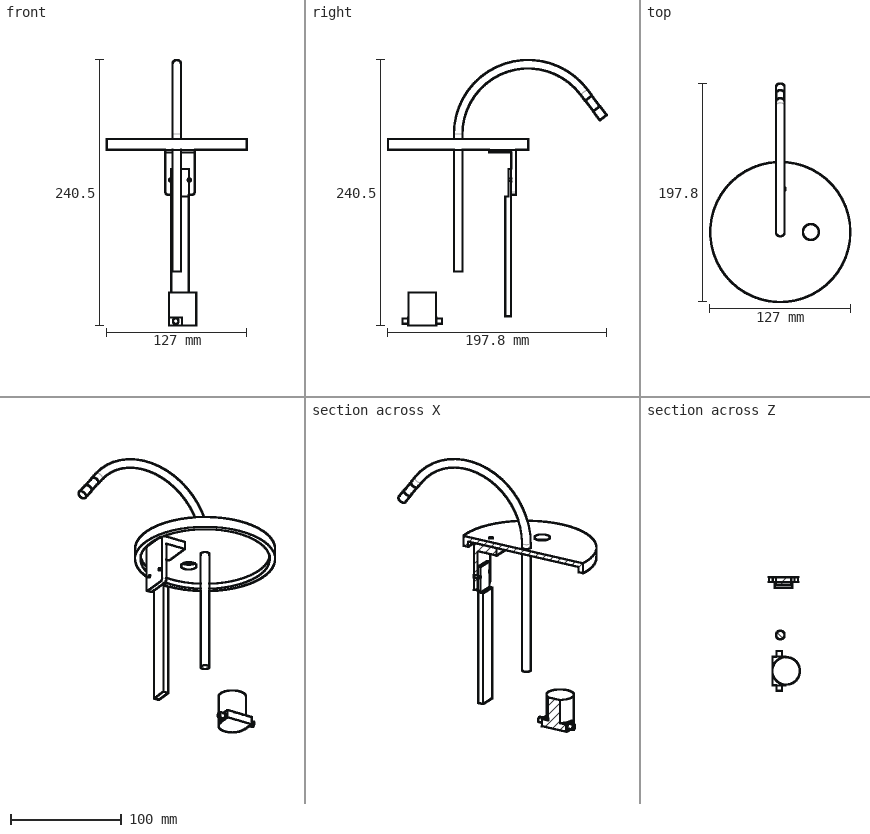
import cadquery as cq
import math


OVERALL_HEIGHT = 240.5

DISC_DIAMETER = 127.0
DISC_THICKNESS = 10.0
DISC_ROOF_THICKNESS = 5.0
DISC_RECESS_DIAMETER = 117.0
DRAIN_HOLE_DIAMETER = 14.2
DRAIN_HOLE_X = 27.7
SCREW_HOLE_DIAMETER = 3.5
SCREW_HOLE_Y = 39.0

TUBE_DIAMETER = 8.0
TUBE_BOTTOM_Z = -120.2
BEND_RADIUS = 63.2
SPOUT_TOP_Z = 71.5
BEND_CENTRE_Z = SPOUT_TOP_Z - TUBE_DIAMETER / 2 - BEND_RADIUS
BEND_ANGLE = 143.0
NECK_DIAMETER = 7.5
STRAIGHT_LENGTH = 7.0
NECK_LENGTH = 12.0
NOZZLE_LENGTH = 10.0

BRACKET_CENTRE_X = 3.0
BRACKET_WIDTH = 26.7
BRACKET_BACK_Y = 52.5
BRACKET_FRONT_Y = 47.8
BRACKET_BOTTOM_Z = -50.7
BRACKET_CORNER = 2.5
FLANGE_FRONT_Y = 28.1
FLANGE_BOTTOM_Z = -12.3

ARM_WIDTH = 16.0
ARM_THICKNESS = 5.3
TONGUE_THICKNESS = 2.5
ARM_TOP_Z = -27.2
ARM_SHOULDER_Z = -52.2
ARM_BOTTOM_Z = -160.5
FIXING_HOLE_DIAMETER = 2.5
FIXING_HOLE_SPACING = 16.8
FIXING_HOLE_Z = -37.3

PUMP_DIAMETER = 25.0
PUMP_X = 5.3
PUMP_Y = -32.5
PUMP_TOP_Z = -139.0
PUMP_BOTTOM_Z = SPOUT_TOP_Z - OVERALL_HEIGHT
MANIFOLD_WIDTH = 12.0
MANIFOLD_LENGTH = 26.0
MANIFOLD_HEIGHT = 7.5
PORT_DIAMETER = 5.0
PORT_SPAN = 36.0
PORT_X = -1.0
PORT_HEIGHT = 4.0


def box(x_min, x_max, y_min, y_max, z_min, z_max):
    """Block between the given limits on each axis."""
    size = (x_max - x_min, y_max - y_min, z_max - z_min)
    return cq.Workplane("XY").box(*size, centered=False).translate((x_min, y_min, z_min))


def upright_cylinder(diameter, x, y, z_min, z_max):
    """Vertical cylinder centred on (x, y)."""
    return cq.Workplane("XY", origin=(x, y, z_min)).circle(diameter / 2).extrude(z_max - z_min)


def make_disc():
    disc = upright_cylinder(DISC_DIAMETER, 0, 0, -DISC_THICKNESS, 0)
    disc = disc.cut(
        upright_cylinder(DISC_RECESS_DIAMETER, 0, 0, -DISC_THICKNESS, -DISC_ROOF_THICKNESS)
    )
    holes = (
        (TUBE_DIAMETER, 0, 0),
        (DRAIN_HOLE_DIAMETER, DRAIN_HOLE_X, 0),
        (SCREW_HOLE_DIAMETER, BRACKET_CENTRE_X, SCREW_HOLE_Y),
    )
    for diameter, x, y in holes:
        disc = disc.cut(upright_cylinder(diameter, x, y, -DISC_THICKNESS, 0))
    return disc


def bend_point(angle_degrees):
    """Point (y, z) on the bend's centreline, with the angle counted from the riser's end."""
    angle = math.radians(angle_degrees)
    y = BEND_RADIUS * (1 - math.cos(angle))
    z = BEND_CENTRE_Z + BEND_RADIUS * math.sin(angle)
    return y, z


def make_spout():
    bend_angle = math.radians(BEND_ANGLE)
    direction = cq.Vector(0, math.sin(bend_angle), math.cos(bend_angle))
    bend_end = cq.Vector(0, *bend_point(BEND_ANGLE))
    neck_start = bend_end + direction * STRAIGHT_LENGTH
    path = (
        cq.Workplane("YZ")
        .moveTo(0, TUBE_BOTTOM_Z)
        .lineTo(0, BEND_CENTRE_Z)
        .threePointArc(bend_point(BEND_ANGLE / 2), bend_point(BEND_ANGLE))
        .lineTo(neck_start.y, neck_start.z)
    )
    tube = cq.Workplane("XY", origin=(0, 0, TUBE_BOTTOM_Z)).circle(TUBE_DIAMETER / 2).sweep(path)

    neck = cq.Solid.makeCylinder(NECK_DIAMETER / 2, NECK_LENGTH, neck_start, direction)
    nozzle_start = neck_start + direction * NECK_LENGTH
    nozzle = cq.Solid.makeCylinder(TUBE_DIAMETER / 2, NOZZLE_LENGTH, nozzle_start, direction)
    return tube.union(cq.Workplane(neck)).union(cq.Workplane(nozzle))


def fixing_holes():
    """Cutters along Y for the two holes beside the arm's edges."""
    length = BRACKET_BACK_Y - BRACKET_FRONT_Y + ARM_THICKNESS
    return (
        cq.Workplane("XZ", origin=(BRACKET_CENTRE_X, BRACKET_BACK_Y, FIXING_HOLE_Z))
        .pushPoints([(-FIXING_HOLE_SPACING / 2, 0), (FIXING_HOLE_SPACING / 2, 0)])
        .circle(FIXING_HOLE_DIAMETER / 2)
        .extrude(length)
    )


def make_bracket():
    x_min = BRACKET_CENTRE_X - BRACKET_WIDTH / 2
    x_max = BRACKET_CENTRE_X + BRACKET_WIDTH / 2
    plate = box(x_min, x_max, BRACKET_FRONT_Y, BRACKET_BACK_Y, BRACKET_BOTTOM_Z, -DISC_ROOF_THICKNESS)
    plate = plate.edges("|Y and <Z").fillet(BRACKET_CORNER)
    flange = box(x_min, x_max, FLANGE_FRONT_Y, BRACKET_FRONT_Y, FLANGE_BOTTOM_Z, -DISC_ROOF_THICKNESS)
    return plate.union(flange).cut(fixing_holes())


def make_arm():
    x_min = BRACKET_CENTRE_X - ARM_WIDTH / 2
    x_max = BRACKET_CENTRE_X + ARM_WIDTH / 2
    back_y = BRACKET_FRONT_Y
    blade = box(x_min, x_max, back_y - ARM_THICKNESS, back_y, ARM_BOTTOM_Z, ARM_SHOULDER_Z)
    tongue = box(x_min, x_max, back_y - TONGUE_THICKNESS, back_y, ARM_SHOULDER_Z, ARM_TOP_Z)
    return blade.union(tongue).cut(fixing_holes())


def make_pump():
    barrel = upright_cylinder(PUMP_DIAMETER, PUMP_X, PUMP_Y, PUMP_BOTTOM_Z, PUMP_TOP_Z)
    x_min = PUMP_X - PUMP_DIAMETER / 2
    manifold = box(
        x_min, x_min + MANIFOLD_WIDTH,
        PUMP_Y - MANIFOLD_LENGTH / 2, PUMP_Y + MANIFOLD_LENGTH / 2,
        PUMP_BOTTOM_Z, PUMP_BOTTOM_Z + MANIFOLD_HEIGHT,
    )
    ports = (
        cq.Workplane("XZ", origin=(PORT_X, PUMP_Y, PUMP_BOTTOM_Z + PORT_HEIGHT))
        .circle(PORT_DIAMETER / 2)
        .extrude(PORT_SPAN / 2, both=True)
    )
    return barrel.union(manifold).union(ports)


disc = make_disc()
spout = make_spout()
bracket = make_bracket()
arm = make_arm()
pump = make_pump()

result = cq.Compound.makeCompound([disc.val(), spout.val(), bracket.val(), arm.val(), pump.val()])